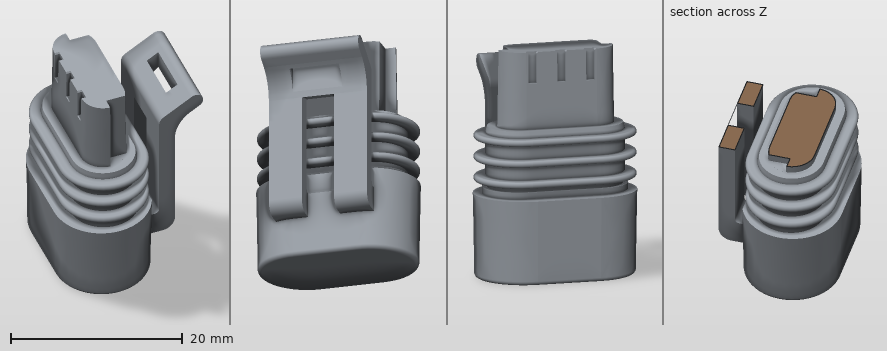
import cadquery as cq
import math


total_depth = 17.85
total_height = 27.1
base_height = 10.0
flange_height = 0.75
seal_bottom = base_height + flange_height
seal_top = 17.97

draft_angle = 1.0
draft = math.tan(math.radians(draft_angle))
base_half_straight = 3.85
base_top_radius = 5.9
base_bottom_radius = base_top_radius - base_height * draft
base_bottom_fillet = 0.5

core_half_straight = 4.3
core_radius = 2.76
flange_half_straight = 4.6
flange_radius = 4.12

corner_notch_inner_x = 5.66
corner_notch_front_y = -0.1

slot_pitch = 3.52
slot_width = 1.05
slot_length = 3.7
slot_floor_y = -2.05
slot_lead_in = 0.15

latch_width = 11.92
latch_inner_y = 6.42
latch_thickness = 1.98
latch_outer_y = latch_inner_y + latch_thickness
latch_root_bottom = 4.58
latch_root_top = 7.5
latch_root_radius = 0.51
latch_heel_radius = 1.52
latch_bend_angle = 30.0
latch_tip_y = total_depth - base_top_radius
latch_tip_radius = 0.98
latch_tip_top = 24.47
latch_bend_radius = 1.15
latch_back_radius = 3.95

relief_back_y = 5.45
relief_radius = 0.43

leg_gap_width = 3.9
leg_gap_top = 19.1
window_width = 6.0
window_inner_y = 8.48
window_outer_y = 9.92

seal_radius = 4.0
seal_end_taper = 0.2
seal_end_length = 0.75
ring_count = 3
ring_radius = 5.4
ring_thickness = 0.79
ring_pitch = 2.5
lowest_ring_center = 11.82


def stadium(half_straight, radius, z, height, taper=0.0):
    """Upright stadium-shaped prism whose side walls lean in by the taper angle going up."""
    outline = cq.Workplane("XY").workplane(offset=z).slot2D(2 * (half_straight + radius), 2 * radius)
    return outline.extrude(height, taper=taper)


def block(x_range, y_range, z_range):
    """Axis-aligned box between the given limits."""
    limits = (x_range, y_range, z_range)
    sizes = [high - low for low, high in limits]
    corner = tuple(low for low, high in limits)
    return cq.Workplane("XY").box(*sizes, centered=False).translate(corner)


def make_base():
    base = stadium(base_half_straight, base_bottom_radius, 0, base_height, -draft_angle)
    base = base.faces("<Z").edges().fillet(base_bottom_fillet)
    flange = stadium(flange_half_straight, flange_radius, base_height, flange_height)
    return base.union(flange)


def make_core():
    return stadium(core_half_straight, core_radius, seal_bottom, seal_top - seal_bottom)


def slot_cutter(center_x):
    """Slot open to the front and top of the plug, flared at its top edge."""
    half = slot_width / 2
    flared = half + slot_lead_in
    slot_bottom = total_height - slot_length
    outline = [
        (-half, slot_bottom),
        (half, slot_bottom),
        (half, total_height - slot_lead_in),
        (flared, total_height),
        (-flared, total_height),
        (-half, total_height - slot_lead_in),
    ]
    depth = core_radius + slot_floor_y
    cutter = cq.Workplane("XZ", origin=(center_x, slot_floor_y, 0)).polyline(outline).close()
    return cutter.extrude(depth)


def make_plug():
    plug = stadium(core_half_straight, core_radius, seal_top, total_height - seal_top, draft_angle)
    notch = block(
        (corner_notch_inner_x, core_half_straight + core_radius),
        (corner_notch_front_y, core_radius),
        (seal_top, total_height),
    )
    plug = plug.cut(notch).cut(notch.mirror("YZ"))
    for position in (-1, 0, 1):
        plug = plug.cut(slot_cutter(position * slot_pitch))
    return plug


def latch_profile():
    """Side outline of the latch in the YZ plane, with sharp bends."""
    bend = math.radians(latch_bend_angle)
    tip_y = latch_tip_y - latch_tip_radius
    tip_z = latch_tip_top - latch_tip_radius
    normal_y = -latch_tip_radius * math.sin(bend)
    normal_z = latch_tip_radius * math.cos(bend)
    upper = (tip_y + normal_y, tip_z + normal_z)
    lower = (tip_y - normal_y, tip_z - normal_z)
    outermost = (tip_y + latch_tip_radius * math.cos(bend), tip_z + latch_tip_radius * math.sin(bend))
    inner_bend_z = upper[1] - (upper[0] - latch_inner_y) * math.tan(bend)
    outer_bend_z = lower[1] - (lower[0] - latch_outer_y) * math.tan(bend)
    return (
        cq.Workplane("YZ", origin=(-latch_width / 2, 0, 0))
        .moveTo(0, latch_root_bottom)
        .lineTo(latch_outer_y, latch_root_bottom)
        .lineTo(latch_outer_y, outer_bend_z)
        .lineTo(*lower)
        .threePointArc(outermost, upper)
        .lineTo(latch_inner_y, inner_bend_z)
        .lineTo(latch_inner_y, latch_root_top)
        .lineTo(0, latch_root_top)
        .close()
    )


def make_latch():
    latch = latch_profile().extrude(latch_width)

    def bend_edge(y, z):
        return cq.selectors.NearestToPointSelector((0, y, z))

    latch = latch.edges(bend_edge(latch_outer_y, latch_root_bottom)).fillet(latch_heel_radius)
    latch = latch.edges(bend_edge(latch_inner_y, latch_tip_top)).fillet(latch_bend_radius)
    latch = latch.edges(bend_edge(latch_outer_y, seal_top)).fillet(latch_back_radius)
    latch = latch.edges(bend_edge(latch_inner_y, latch_root_top)).fillet(latch_root_radius)
    window = block(
        (-window_width / 2, window_width / 2),
        (window_inner_y, window_outer_y),
        (seal_top, total_height),
    )
    return latch.cut(window)


def latch_relief():
    """Flat-backed cut with a rounded bottom that frees the space behind the latch."""
    half_width = base_half_straight + base_top_radius
    relief = block(
        (-half_width, half_width),
        (relief_back_y, latch_inner_y),
        (latch_root_top, base_height),
    )
    return relief.edges("|X and <Y and <Z").fillet(relief_radius)


def leg_gap():
    """Opening that splits the lower part of the latch into two legs."""
    return block(
        (-leg_gap_width / 2, leg_gap_width / 2),
        (0, latch_outer_y),
        (latch_root_bottom, leg_gap_top),
    )


def make_housing():
    base = make_base().cut(latch_relief())
    latch = make_latch().cut(leg_gap())
    return base.union(latch).union(make_core()).union(make_plug())


def half_ring_section(workplane):
    """Cross-section of a ring from the seal centreline to its fully rounded rim."""
    half_thickness = ring_thickness / 2
    rim_start = ring_radius - half_thickness
    return (
        workplane.moveTo(0, -half_thickness)
        .lineTo(rim_start, -half_thickness)
        .threePointArc((ring_radius, 0), (rim_start, half_thickness))
        .lineTo(0, half_thickness)
        .close()
    )


def make_ring(center_z):
    """Solid stadium plate with a round rim: two round ends joined by a straight run."""
    run = half_ring_section(cq.Workplane("YZ", origin=(-core_half_straight, 0, center_z)))
    half_run = run.extrude(2 * core_half_straight)
    ring = half_run.union(half_run.mirror("XZ"))
    for end_x in (-core_half_straight, core_half_straight):
        end = half_ring_section(cq.Workplane("XZ", origin=(end_x, 0, center_z)))
        ring = ring.union(end.revolve(360, (0, 0), (0, 1)))
    return ring


def make_seal():
    sleeve_bottom = seal_bottom + seal_end_length
    sleeve_top = seal_top - seal_end_length
    end_angle = math.degrees(math.atan(seal_end_taper / seal_end_length))
    end_radius = seal_radius - seal_end_taper
    seal = stadium(core_half_straight, seal_radius, sleeve_bottom, sleeve_top - sleeve_bottom)
    seal = seal.union(stadium(core_half_straight, end_radius, seal_bottom, seal_end_length, -end_angle))
    seal = seal.union(stadium(core_half_straight, seal_radius, sleeve_top, seal_end_length, end_angle))
    for index in range(ring_count):
        seal = seal.union(make_ring(lowest_ring_center + index * ring_pitch))
    return seal.cut(make_core())


housing = make_housing()
seal = make_seal()
result = cq.Compound.makeCompound([housing.val(), seal.val()])